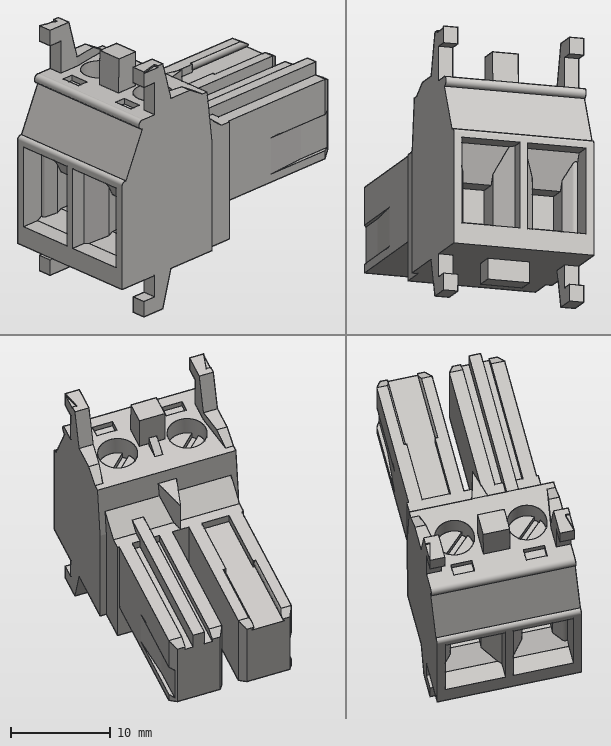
import cadquery as cq
import math


width = 15.0
body_depth = 12.8
rear_knee_z = 11.95
deck_z = 18.05
deck_rear_y = 12.05
front_edge_z = 12.03
front_edge_radius = 0.43
ramp_foot_y = 0.55
lip_height = 1.0
lip_top_y = 3.03
lip_nose_y = 2.4
lip_bottom_y = 2.88
pole_x = 3.75

ear_thickness = 1.53
ear_tip_thickness = 0.85
ear_top_z = 23.38
ear_bottom_z = -4.13
ear_rear_y = 6.95
ear_tip_rear_y = 5.78
ear_front_y = 4.62
hook_front_y = 3.1
hook_thickness = 1.75
shoulder_z = 19.1
shoulder_rear_y = 9.6
shoulder_foot_y = 11.38
notch_width = 0.5
notch_rear_y = 5.08
notch_depth = 0.18

block_width = 2.75
block_front_y = 5.55
block_rear_y = 8.0
block_top_z = 21.85
block_draft = 0.1
wedge_width = 0.85
wedge_front_y = 8.17
wedge_rear_y = 9.88
screw_y = 8.08
screw_radius = 2.02
screw_depth = 2.15
screw_slot_width = 0.7
screw_slot_depth = 0.6
screw_slot_angle = 45
test_slot_size = (2.17, 1.22)
test_slot_y = 4.47
test_slot_depth = 0.6

tab_width = 4.47
tab_front_y = 4.65
tab_rear_y = 6.85
tab_bottom_z = -2.17

collar_width = 13.65
collar_rear_y = 15.9
collar_knee_y = 14.78
collar_high_y = 12.1
collar_high_z = 15.27
collar_root_y = 10.7
gusset_width = 2.0
gusset_front_y = 12.25
gusset_top_z = 16.65

prong_width = 5.75
prong_end_y = 30.6
prong_bottom_z = 4.22
prong_top_z = 13.15
tip_length = 0.95
tip_inset = 0.55
channel_width = 2.95
channel_depth = 0.9
wide_channel_width = 3.52
wide_channel_front_y = 22.58
wide_channel_bulge = 0.2
key_width = 1.22
key_top_z = 14.0
key_front_y = 13.65
flat_bottom_z = 5.15
flat_top_z = 9.2
flat_front_y = 22.0
flat_knee_y = 26.65
flat_rear_y = 30.32

entry_outer_x = 6.65
entry_inner_x = 0.4
entry_bottom_z = 2.17
entry_top_z = 11.1
throat_outer_x = 5.3
throat_inner_x = 2.1
throat_y = 3.45
throat_bottom_z = 3.3
throat_top_z = 7.45
funnel_end_y = 3.98
throat_end_y = 6.12
inner_side_straight = 1.62
roof_straight = 2.1
floor_straight = 2.0
outer_step_y = 2.57
outer_step_crown = (6.33, 2.55)
outer_step_end = (6.1, 2.7)


def box(x0, x1, y0, y1, z0, z1):
    return cq.Workplane("XY").box(x1 - x0, y1 - y0, z1 - z0, centered=False).translate((x0, y0, z0))


def slab(points, x0, x1):
    """Prism along X from a closed (y, z) outline."""
    return cq.Workplane("YZ").polyline(points).close().extrude(x1 - x0).translate((x0, 0, 0))


def plate(points, z0, z1):
    """Prism along Z from a closed (x, y) outline."""
    return cq.Workplane("XY").polyline(points).close().extrude(z1 - z0).translate((0, 0, z0))


def both_sides(solid):
    return solid.union(solid.mirror("YZ"))


def housing():
    round_off = front_edge_radius * (1 - math.sqrt(0.5))
    return (
        cq.Workplane("YZ")
        .moveTo(0, 0)
        .lineTo(0, front_edge_z - front_edge_radius)
        .threePointArc((round_off, front_edge_z - round_off), (front_edge_radius, front_edge_z))
        .lineTo(ramp_foot_y, front_edge_z)
        .lineTo(lip_bottom_y, deck_z - lip_height)
        .threePointArc((lip_nose_y, deck_z - lip_height / 2), (lip_top_y, deck_z))
        .lineTo(deck_rear_y, deck_z)
        .lineTo(body_depth, rear_knee_z)
        .lineTo(body_depth, 0)
        .close()
        .extrude(width / 2, both=True)
    )


def left_ears():
    """Top ear with its tapering shoulder, and the hook below it, on the -X side."""
    outer_x = -width / 2
    inner_x = outer_x + ear_thickness
    top_outline = [
        (shoulder_foot_y, deck_z),
        (shoulder_rear_y, shoulder_z),
        (ear_rear_y, shoulder_z),
        (ear_tip_rear_y, ear_top_z),
        (hook_front_y, ear_top_z),
        (hook_front_y, ear_top_z - hook_thickness),
        (ear_front_y, ear_top_z - hook_thickness),
        (ear_front_y, deck_z),
    ]
    bottom_outline = [
        (ear_rear_y, 0),
        (ear_tip_rear_y, ear_bottom_z),
        (hook_front_y, ear_bottom_z),
        (hook_front_y, ear_bottom_z + hook_thickness),
        (ear_front_y, ear_bottom_z + hook_thickness),
        (ear_front_y, 0),
    ]
    taper = [
        (outer_x, hook_front_y),
        (inner_x, hook_front_y),
        (inner_x, ear_rear_y),
        (outer_x + ear_tip_thickness, shoulder_foot_y),
        (outer_x, shoulder_foot_y),
    ]
    notch = [
        (outer_x, hook_front_y),
        (outer_x + notch_width, notch_rear_y),
        (outer_x, notch_rear_y),
    ]
    top_ear = slab(top_outline, outer_x, inner_x).intersect(plate(taper, deck_z, ear_top_z))
    top_ear = top_ear.cut(plate(notch, ear_top_z - notch_depth, ear_top_z))
    return top_ear.union(slab(bottom_outline, outer_x, inner_x))


def deck_block():
    outline = [
        (block_front_y, deck_z),
        (block_front_y + block_draft, block_top_z),
        (block_rear_y, block_top_z),
        (block_rear_y, deck_z),
    ]
    return slab(outline, -block_width / 2, block_width / 2)


def deck_wedge():
    outline = [(wedge_front_y, deck_z), (wedge_front_y, shoulder_z), (wedge_rear_y, deck_z)]
    return slab(outline, -wedge_width / 2, wedge_width / 2)


def bottom_tab():
    return box(-tab_width / 2, tab_width / 2, tab_front_y, tab_rear_y, tab_bottom_z, 0)


def collar():
    outline = [
        (collar_root_y, 0),
        (collar_rear_y, 0),
        (collar_rear_y, prong_top_z),
        (collar_knee_y, prong_top_z),
        (collar_high_y, collar_high_z),
        (collar_root_y, collar_high_z),
    ]
    gusset = [
        (0, collar_rear_y),
        (-gusset_width / 2, gusset_front_y),
        (-gusset_width / 2, collar_root_y),
        (gusset_width / 2, collar_root_y),
        (gusset_width / 2, gusset_front_y),
    ]
    wall = slab(outline, -collar_width / 2, collar_width / 2)
    return wall.union(plate(gusset, prong_bottom_z, gusset_top_z))


def prong(x):
    """Prong that narrows on all four sides at its tip."""
    height = prong_top_z - prong_bottom_z
    middle_z = (prong_top_z + prong_bottom_z) / 2
    shank_end_y = prong_end_y - tip_length
    shank = box(
        x - prong_width / 2, x + prong_width / 2, collar_rear_y, shank_end_y, prong_bottom_z, prong_top_z
    )
    tip = (
        cq.Workplane("XZ", origin=(x, shank_end_y, middle_z))
        .rect(prong_width, height)
        .workplane(offset=-tip_length)
        .rect(prong_width - 2 * tip_inset, height - 2 * tip_inset)
        .loft(ruled=True)
    )
    return shank.union(tip)


def top_channel(x):
    floor_z = prong_top_z - channel_depth
    half = channel_width / 2
    return box(x - half, x + half, collar_rear_y, prong_end_y, floor_z, prong_top_z)


def wide_channel(x):
    """End stretch of the channel, whose side walls bulge inwards."""
    half = wide_channel_width / 2
    floor_z = prong_top_z - channel_depth
    middle_z = prong_top_z - channel_depth / 2
    neck = half - wide_channel_bulge
    return (
        cq.Workplane("XZ", origin=(x, prong_end_y, 0))
        .moveTo(-half, floor_z)
        .lineTo(half, floor_z)
        .threePointArc((neck, middle_z), (half, prong_top_z))
        .lineTo(-half, prong_top_z)
        .threePointArc((-neck, middle_z), (-half, floor_z))
        .close()
        .extrude(prong_end_y - wide_channel_front_y)
    )


def key_rib(x):
    floor_z = prong_top_z - channel_depth
    return box(x - key_width / 2, x + key_width / 2, key_front_y, prong_end_y, floor_z, key_top_z)


def outer_flat():
    """Recess in the outer side of the -X prong, running out towards the housing."""
    side_x = -pole_x - prong_width / 2
    depth = tip_inset * (flat_rear_y - (prong_end_y - tip_length)) / tip_length
    outline = [
        (side_x, flat_front_y),
        (side_x + depth, flat_knee_y),
        (side_x + depth, flat_rear_y),
        (side_x, flat_rear_y),
    ]
    return plate(outline, flat_bottom_z, flat_top_z)


def left_wire_entry():
    """Funnel on the -X side: a plan outline crossed with a side outline."""
    crown_x, crown_y = outer_step_crown
    end_x, end_y = outer_step_end
    plan = (
        cq.Workplane("XY")
        .moveTo(-entry_outer_x, 0)
        .lineTo(-entry_outer_x, outer_step_y)
        .threePointArc((-crown_x, crown_y), (-end_x, end_y))
        .lineTo(-throat_outer_x, throat_y)
        .lineTo(-throat_outer_x, funnel_end_y)
        .lineTo(-throat_inner_x, funnel_end_y)
        .lineTo(-throat_inner_x, throat_y)
        .lineTo(-entry_inner_x, inner_side_straight)
        .lineTo(-entry_inner_x, 0)
        .close()
        .extrude(entry_top_z)
    )
    side = [
        (0, entry_bottom_z),
        (floor_straight, entry_bottom_z),
        (funnel_end_y, throat_bottom_z),
        (funnel_end_y, throat_top_z),
        (roof_straight, entry_top_z),
        (0, entry_top_z),
    ]
    funnel = plan.intersect(slab(side, -entry_outer_x, -entry_inner_x))
    throat = box(
        -throat_outer_x, -throat_inner_x, throat_y, throat_end_y, throat_bottom_z, throat_top_z
    )
    return funnel.union(throat)


def screw_well(x):
    """Round well with a slotted screw head at its floor."""
    floor_z = deck_z - screw_depth
    well = cq.Workplane("XY").circle(screw_radius).extrude(screw_depth)
    slot = (
        cq.Workplane("XY")
        .rect(2 * screw_radius, screw_slot_width)
        .extrude(-screw_slot_depth)
        .rotate((0, 0, 0), (0, 0, 1), screw_slot_angle)
        .intersect(cq.Workplane("XY").circle(screw_radius).extrude(-screw_slot_depth))
    )
    return well.union(slot).translate((x, screw_y, floor_z))


def test_slot(x):
    return (
        cq.Workplane("XY", origin=(x, test_slot_y, deck_z))
        .rect(*test_slot_size)
        .extrude(-test_slot_depth)
    )


result = housing().union(both_sides(left_ears()))
for part in (deck_block(), deck_wedge(), bottom_tab(), collar()):
    result = result.union(part)

for pole in (-pole_x, pole_x):
    result = result.union(prong(pole)).cut(top_channel(pole))
    result = result.cut(screw_well(pole)).cut(test_slot(pole))

result = result.cut(wide_channel(-pole_x)).union(key_rib(pole_x))
result = result.cut(both_sides(outer_flat())).cut(both_sides(left_wire_entry()))